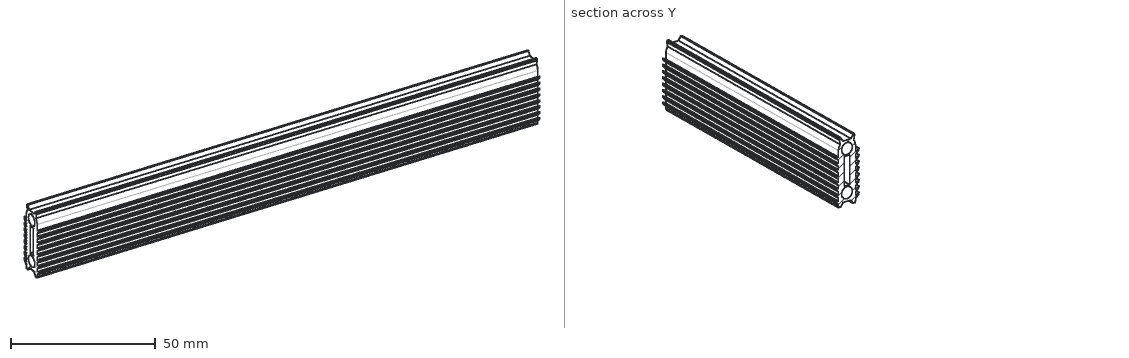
import cadquery as cq

length = 200.0
height = 26.5
fin_span = 10.5

half_height = height / 2
half_span = fin_span / 2
body_half = 3.8

groove_depth = 1.5
groove_floor_half = 1.5
groove_mouth_half = 2.5

bevel_width = 0.2
bevel_height = 0.5

lip_half = 3.5
waist_half = 3.0
waist_z = 10.8
shoulder_z = 8.8
shoulder_bulge = 0.15

fin_count = 8
fin_pitch = 2.5
first_fin_top_z = 7.0
fin_tip_height = 0.5
fin_tip_inset = 0.1
fin_upper_drop = 0.8
fin_lower_drop = 2.0

bore_radius = 2.2
bore_z = 8.5
bore_wall = 0.5
slot_width = 2.0
slot_height = 2 * (bore_z - bore_radius - bore_wall)


def bulge_point(start, end, bulge):
    """Middle point of an arc from start to end, pushed to the left of the chord by bulge."""
    dx = end[0] - start[0]
    dz = end[1] - start[1]
    chord = (dx**2 + dz**2) ** 0.5
    mid_x = (start[0] + end[0]) / 2
    mid_z = (start[1] + end[1]) / 2
    return (mid_x - dz / chord * bulge, mid_z + dx / chord * bulge)


def extrude(profile):
    """Extrude an XZ profile over the full length, centered on Y."""
    return profile.extrude(length / 2, both=True)


def make_body():
    """Grooved bar without fins; the right half outline is mirrored across X = 0."""
    groove_z = half_height - groove_depth
    waist = (waist_half, waist_z)
    shoulder = (body_half, shoulder_z)
    half_profile = (
        cq.Workplane("XZ")
        .moveTo(0, groove_z)
        .lineTo(groove_floor_half, groove_z)
        .lineTo(groove_mouth_half, half_height)
        .lineTo(lip_half - bevel_width, half_height)
        .lineTo(lip_half, half_height - bevel_height)
        .lineTo(*waist)
        .threePointArc(bulge_point(waist, shoulder, shoulder_bulge), shoulder)
        .lineTo(body_half, bevel_height - half_height)
        .lineTo(body_half - bevel_width, -half_height)
        .lineTo(groove_mouth_half, -half_height)
        .lineTo(groove_floor_half, -groove_z)
        .lineTo(0, -groove_z)
        .mirrorY()
    )
    return extrude(half_profile)


def make_fin(side, top_z):
    """One upturned fin; side is +1 for the +X face and -1 for the -X face."""
    outline = [
        (0, top_z - fin_upper_drop),
        (side * body_half, top_z - fin_upper_drop),
        (side * half_span, top_z),
        (side * (half_span - fin_tip_inset), top_z - fin_tip_height),
        (side * body_half, top_z - fin_lower_drop),
        (0, top_z - fin_lower_drop),
    ]
    return extrude(cq.Workplane("XZ").polyline(outline).close())


result = make_body()
for index in range(fin_count):
    for side in (-1, 1):
        result = result.union(make_fin(side, first_fin_top_z - index * fin_pitch))

bores = extrude(cq.Workplane("XZ").pushPoints([(0, bore_z), (0, -bore_z)]).circle(bore_radius))
slot = extrude(cq.Workplane("XZ").rect(slot_width, slot_height))
result = result.cut(bores).cut(slot)